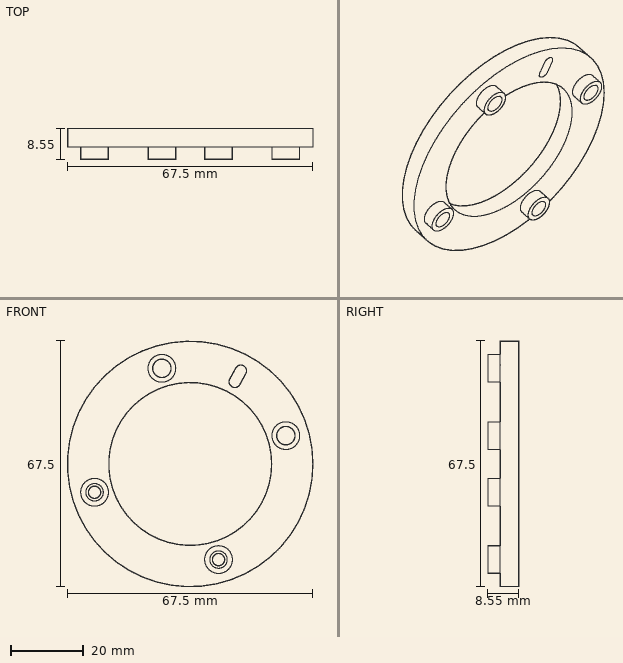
import cadquery as cq

ring_diameter = 67.55
bore_diameter = 44.7
ring_thickness = 5.15

boss_diameter = 7.65
boss_height = 3.4
boss_count = 4
boss_spacing = 360 / boss_count
pitch_radius = 27.4
first_boss_angle = 16.5

plain_hole_diameter = 5.0
stepped_hole_diameter = 3.3
counterbore_diameter = 4.8
total_depth = ring_thickness + boss_height
counterbore_depth = boss_height

slot_width = 3.1
slot_length = 6.55
slot_angle = first_boss_angle + boss_spacing / 2


def face_plane(height):
    """XZ sketch plane facing -Y, at a height above the back of the ring."""
    return cq.Workplane("XZ", origin=(0, -height, 0))


def on_pitch_circle(height, first_angle, angle_span, count):
    """Points spaced evenly over part of the pitch circle, with local X pointing radially."""
    return face_plane(height).polarArray(pitch_radius, first_angle, angle_span, count)


def hole_pair(height, first_index, diameter, depth):
    """Cutters for two neighbouring bosses, starting at a height above the back of the ring."""
    start_angle = first_boss_angle + first_index * boss_spacing
    return on_pitch_circle(height, start_angle, boss_spacing, 2).circle(diameter / 2).extrude(depth)


ring = face_plane(0).circle(ring_diameter / 2).circle(bore_diameter / 2).extrude(ring_thickness)
bosses = on_pitch_circle(0, first_boss_angle, 360, boss_count).circle(boss_diameter / 2).extrude(total_depth)

plain_holes = hole_pair(0, 0, plain_hole_diameter, total_depth)
stepped_holes = hole_pair(0, 2, stepped_hole_diameter, total_depth)
counterbores = hole_pair(total_depth - counterbore_depth, 2, counterbore_diameter, counterbore_depth)
slot = on_pitch_circle(0, slot_angle, 360, 1).slot2D(slot_length, slot_width).extrude(ring_thickness)

result = ring.union(bosses).cut(plain_holes).cut(stepped_holes).cut(counterbores).cut(slot)